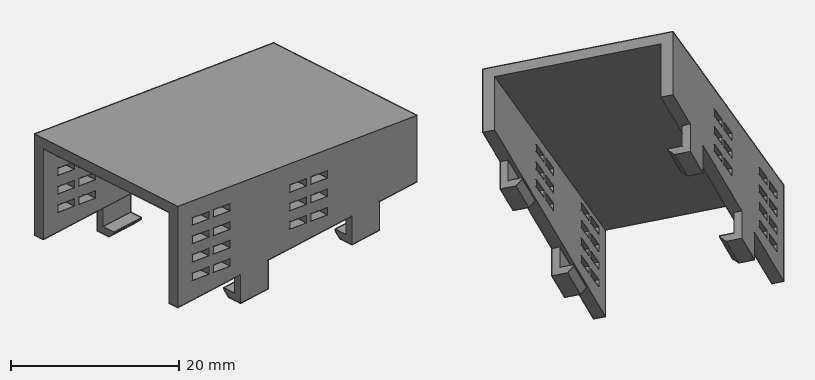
import cadquery as cq

width = 23.9
length = 40.65
height = 18.05
wall = 1.5
roof_thickness = 1.45
roof_drop = 4.85

clip_height = 4.0
clip_thickness = 1.0
clip_length = 4.7
clip_reach = 2.8
clip_bevel = 0.8
front_clip_start = 10.65
clip_pitch = 18.9
clips_per_wall = 2

vent_length = 2.8
vent_height = 1.0
vent_column_pitch = 3.58
vent_row_pitch = 2.55
vent_columns = 2
vent_base = 2.72
front_vent_start = 2.48
front_vent_rows = 4
rear_vent_start = 19.0
rear_vent_rows = 3

half_width = width / 2
front_y = -length / 2
rear_y = length / 2
wall_bottom = clip_height
rear_height = height - roof_drop
roof_slope = roof_drop / length


def extrude_across(points, total_width):
    """Extrude a side profile of (y, z) points symmetrically about the YZ plane."""
    return cq.Workplane("YZ").polyline(points).close().extrude(total_width / 2, both=True)


def make_shell():
    outer = extrude_across(
        [
            (front_y, wall_bottom),
            (rear_y, wall_bottom),
            (rear_y, rear_height),
            (front_y, height),
        ],
        width,
    )
    inner = extrude_across(
        [
            (front_y, wall_bottom),
            (rear_y, wall_bottom),
            (rear_y, rear_height - roof_thickness),
            (front_y, height - roof_thickness),
        ],
        width - 2 * wall,
    )
    return outer.cut(inner)


def make_clip(start_y):
    """Hooked clip under the -X wall, its bevelled foot pointing inward."""
    inner_face = clip_thickness - half_width
    tip = clip_reach - half_width
    return (
        cq.Workplane("XZ", origin=(0, start_y, 0))
        .moveTo(-half_width, wall_bottom)
        .lineTo(-half_width, 0)
        .lineTo(tip - clip_bevel, 0)
        .lineTo(tip, clip_bevel)
        .lineTo(tip, clip_thickness)
        .lineTo(inner_face, clip_thickness)
        .lineTo(inner_face, wall_bottom)
        .close()
        .extrude(-clip_length)
    )


def make_vents(start, rows):
    """Grid of slots through both walls; start is the distance from the front end."""
    vents = cq.Workplane("YZ")
    rise = -vent_length * roof_slope
    for column in range(vent_columns):
        offset = column * vent_column_pitch
        near_y = front_y + start + offset
        far_y = near_y + vent_length
        for row in range(rows):
            bottom = wall_bottom + vent_base + row * vent_row_pitch - offset * roof_slope
            slot = extrude_across(
                [
                    (near_y, bottom),
                    (far_y, bottom + rise),
                    (far_y, bottom + rise + vent_height),
                    (near_y, bottom + vent_height),
                ],
                width,
            )
            vents = vents.add(slot)
    return vents.combine()


result = make_shell()

for clip_index in range(clips_per_wall):
    clip = make_clip(front_y + front_clip_start + clip_index * clip_pitch)
    result = result.union(clip).union(clip.mirror("YZ"))

result = result.cut(make_vents(front_vent_start, front_vent_rows))
result = result.cut(make_vents(rear_vent_start, rear_vent_rows))